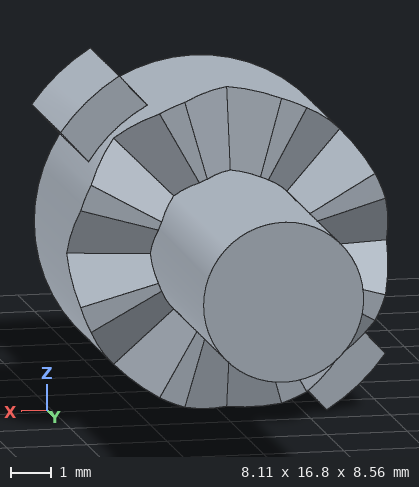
import cadquery as cq

length = 16.8
shaft_radius = 2.0
collar_radius = 2 * shaft_radius
shaft_end_length = 6.0
collar_front = -length / 2 + shaft_end_length
collar_back = length / 2 - shaft_end_length

key_length = 3.5
key_width = 2.0
key_tip_radius = 5.0
key_angle = 47.3

rim_drop = 0.08

notch_count = 8
notch_depth = 0.87
notch_half_width = 1.41
cutter_scale = 1.2


def cylinder(radius, y_start, y_end):
    """Solid cylinder about the Y axis."""
    height = y_end - y_start
    return cq.Workplane("XZ", origin=(0, y_end, 0)).circle(radius).extrude(height)


def make_collar():
    """Collar with a shallow conical back face."""
    profile = [
        (0, collar_front),
        (collar_radius, collar_front),
        (collar_radius, collar_back - rim_drop),
        (shaft_radius, collar_back),
        (0, collar_back),
    ]
    return cq.Workplane("XY").polyline(profile).close().revolve(360, (0, 0, 0), (0, 1, 0))


def make_keys():
    """Bar across the collar, rounded at both tips."""
    key_back = collar_front + key_length
    bar = cq.Workplane("XY").box(2 * key_tip_radius, key_length, key_width)
    bar = bar.rotate((0, 0, 0), (0, 1, 0), -key_angle)
    bar = bar.translate((0, (collar_front + key_back) / 2, 0))
    return bar.intersect(cylinder(key_tip_radius, collar_front, key_back))


def make_notch_cutter():
    """Pyramid that narrows to a point on the axis, level with the top of the back face."""
    reach = cutter_scale * collar_radius
    half_width = cutter_scale * notch_half_width
    bottom = collar_back - cutter_scale * notch_depth
    apex = cq.Vector(0, collar_back, 0)
    left = cq.Vector(-half_width, collar_back, reach)
    right = cq.Vector(half_width, collar_back, reach)
    root = cq.Vector(0, bottom, reach)
    triangles = [(apex, left, right), (apex, left, root), (apex, right, root), (left, right, root)]
    faces = [cq.Face.makeFromWires(cq.Wire.makePolygon(points, close=True)) for points in triangles]
    return cq.Workplane(obj=cq.Solid.makeSolid(cq.Shell.makeShell(faces)))


collar = make_collar()
cutter = make_notch_cutter()
for index in range(notch_count):
    angle = index * 360 / notch_count
    collar = collar.cut(cutter.rotate((0, 0, 0), (0, 1, 0), angle))

shaft = cylinder(shaft_radius, -length / 2, length / 2)
result = collar.union(make_keys()).union(shaft)